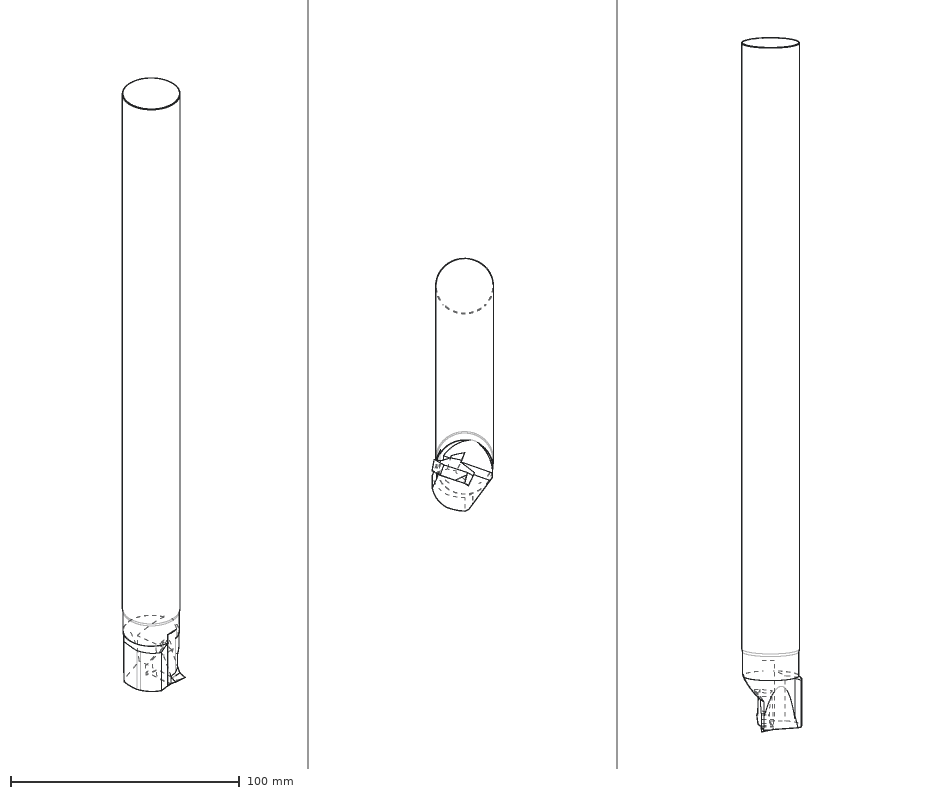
import cadquery as cq
import math

overall_length = 305.5
shank_radius = 25.5 / 2
neck_radius = 24.8 / 2
relief = shank_radius - neck_radius
shank_bottom = 35.0
step_length = 1.2
head_radius = 12.2
head_bottom = 2.0

pad_top = 24.5
pad_bevel = 2.5
pad_corner_radius = 14.7
pad_reach = shank_radius + 1.5
flat_left = -0.45
flat_right = 1.38
pad_side_start = (-9.8, -7.5)
pad_left_corner = (-8.0, -11.0)
pad_left_middle = (-4.5, -12.8)
pad_right_middle = (6.0, -13.0)
pad_right_corner = (9.8, -10.7)

slope_top = 24.5
slope_foot = -9.0

chip_flat_top = 29.0
chip_flat_start = (10.7, -6.0)
chip_flat_end = (12.5, 0)

insert_turn = -15
insert_thickness = 5.2
insert_clearance = 5
corner_count = 3
tooth_notch = (7.3, -1.8)
tooth_tip = (10.5, -3.0)
tooth_heel = (5.8, -6.5)

third_turn = math.radians(360 / corner_count)
tooth_reach = shank_radius + 3.7
insert_x = tooth_reach - tooth_tip[0] * math.cos(math.radians(insert_turn))
insert_y = 2.8
insert_z = tooth_tip[0] * math.sin(third_turn) - tooth_tip[1] * math.cos(third_turn)

face_floor_top = 15.0
face_middle_top = 18.5
face_runout_top = 28.0
face_depth = 8.5
cut_margin = 30.5


def insert_plane():
    """Rake face of the insert; local Y is Z and the normal points outward on the +Y side."""
    turn = math.radians(insert_turn)
    return cq.Plane(
        origin=(insert_x, insert_y, insert_z),
        xDir=(math.cos(turn), math.sin(turn), 0),
        normal=(-math.sin(turn), math.cos(turn), 0),
    )


def insert_workplane():
    """Workplane on the rake face, with local X toward -X so that local Y stays up."""
    rake = insert_plane()
    return cq.Workplane(cq.Plane(rake.origin, rake.xDir * -1, rake.zDir))


def turned_corner(point, index):
    """Point repeated about the insert centre, mirrored to the local X direction."""
    angle = -index * third_turn
    x, z = point
    return (
        -(x * math.cos(angle) - z * math.sin(angle)),
        x * math.sin(angle) + z * math.cos(angle),
    )


def insert_outline():
    corners = [
        turned_corner(point, index)
        for index in range(corner_count)
        for point in (tooth_notch, tooth_tip, tooth_heel)
    ]
    return insert_workplane().polyline(corners).close()


def make_insert():
    return insert_outline().extrude(-insert_thickness, taper=insert_clearance)


def make_pocket_opening():
    """Clear space above the rake face, so the seat is open on the +Y side."""
    return insert_outline().extrude(cut_margin)


def make_shank():
    shank = cq.Workplane("XY").workplane(offset=shank_bottom).circle(shank_radius)
    shank = shank.extrude(overall_length - shank_bottom).faces(">Z").chamfer(relief)
    shank = shank.faces("<Z").chamfer(step_length, relief)
    neck = cq.Workplane("XY").workplane(offset=pad_top).circle(neck_radius)
    neck = neck.extrude(shank_bottom - pad_top)
    head = cq.Workplane("XY").workplane(offset=head_bottom).circle(head_radius)
    return shank.union(neck).union(head.extrude(pad_top - head_bottom))


def make_pad():
    """Raised pad with a conical bevel at its upper end, closing on the head."""
    pad = (
        cq.Workplane("XY").workplane(offset=head_bottom)
        .moveTo(0, 0)
        .lineTo(*pad_side_start)
        .lineTo(*pad_left_corner)
        .threePointArc(pad_left_middle, (flat_left, -pad_reach))
        .lineTo(flat_right, -pad_reach)
        .threePointArc(pad_right_middle, pad_right_corner)
        .lineTo(*chip_flat_start)
        .close()
        .extrude(pad_top - head_bottom)
    )
    envelope = (
        cq.Workplane("XY").workplane(offset=head_bottom)
        .circle(pad_corner_radius)
        .extrude(pad_top - head_bottom)
        .faces(">Z").chamfer(pad_bevel)
    )
    return pad.intersect(envelope)


def make_slope_cut():
    return (
        cq.Workplane("XZ")
        .polyline([
            (-shank_radius, slope_top),
            (slope_foot, head_bottom),
            (-shank_radius, head_bottom),
        ])
        .close()
        .extrude(cut_margin, both=True)
    )


def make_chip_flat_cut():
    return (
        cq.Workplane("XY")
        .polyline([chip_flat_start, chip_flat_end, (cut_margin, 0), (cut_margin, chip_flat_start[1])])
        .close()
        .extrude(chip_flat_top)
    )


def make_face_cut():
    rake = insert_plane()
    side = cq.Workplane(cq.Plane(rake.origin, rake.zDir, rake.xDir))
    floor_top = face_floor_top - insert_z
    runout_middle = face_middle_top - insert_z
    runout_top = face_runout_top - insert_z
    return (
        side.moveTo(0, -insert_z)
        .lineTo(0, floor_top)
        .threePointArc((face_depth / 2, runout_middle), (face_depth, runout_top))
        .lineTo(cut_margin, runout_top)
        .lineTo(cut_margin, -insert_z)
        .close()
        .extrude(cut_margin, both=True)
    )


insert = make_insert()
bar = make_shank().cut(make_chip_flat_cut()).union(make_pad())
bar = bar.cut(make_slope_cut()).cut(make_face_cut())
bar = bar.cut(make_pocket_opening()).cut(insert)

result = cq.Compound.makeCompound([bar.solids().val(), insert.val()])